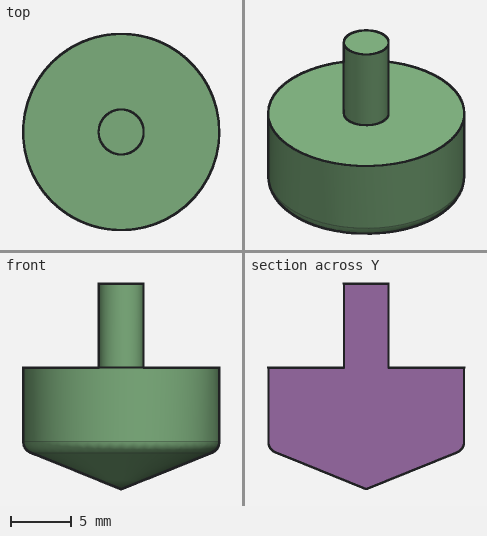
import cadquery as cq
import math

body_diameter = 16.13
stem_diameter = 3.7
stem_length = 6.9
body_height = 10.0
cone_angle = 22.0
edge_radius = 1.0

body_radius = body_diameter / 2
cone_height = body_radius * math.tan(math.radians(cone_angle))


def make_body():
    """Round body with a conical underside, its tip at the origin."""
    profile = (
        cq.Workplane("XZ")
        .moveTo(0, 0)
        .lineTo(body_radius, cone_height)
        .lineTo(body_radius, body_height)
        .lineTo(0, body_height)
        .close()
    )
    body = profile.revolve(360, (0, 0, 0), (0, 1, 0))
    cone_edge = cq.selectors.NearestToPointSelector((0, 0, cone_height))
    return body.edges("%CIRCLE").edges(cone_edge).fillet(edge_radius)


def make_stem():
    """Plain cylindrical stem standing on the flat top of the body."""
    return cq.Workplane("XY", origin=(0, 0, body_height)).circle(stem_diameter / 2).extrude(stem_length)


result = make_body().union(make_stem())